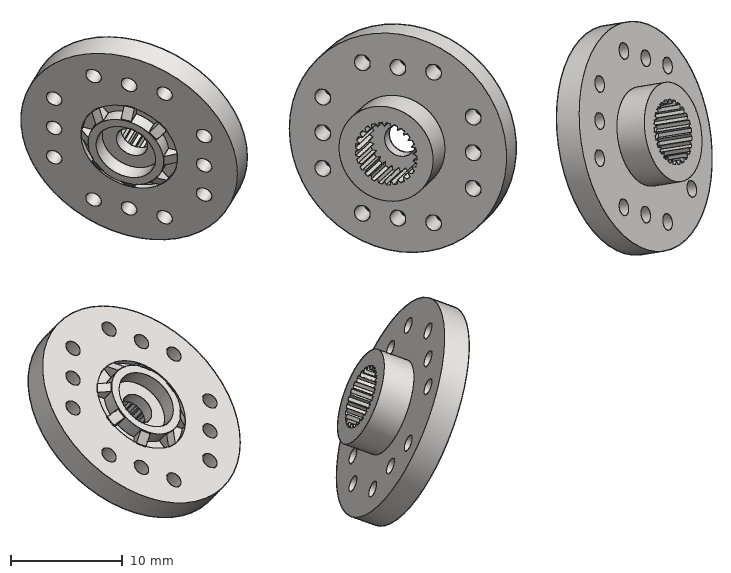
import cadquery as cq
import math

TOTAL_LENGTH = 6.3
BOSS_LENGTH = 3.0
HUB_HEIGHT = 0.81
PLATE_THICKNESS = TOTAL_LENGTH - BOSS_LENGTH - HUB_HEIGHT

PLATE_DIAMETER = 20.8
BOSS_DIAMETER = 9.0
HUB_DIAMETER = 7.25
GROOVE_DIAMETER = 9.25
GROOVE_DEPTH = 0.5
SCREW_HEAD_DIAMETER = 5.7
SCREW_HEAD_DEPTH = 1.5
SCREW_HOLE_DIAMETER = 3.0
SCREW_HOLE_LENGTH = 1.2

TOOTH_COUNT = 25
SOCKET_ROOT_DIAMETER = 5.9
SOCKET_TIP_DIAMETER = 5.2
TOOTH_BASE_FRACTION = 0.52

RIB_COUNT = 8
RIB_WIDTH = 1.0
RIB_RISE = 0.7
RIB_DROP = 0.1

MOUNT_HOLE_DIAMETER = 1.5
MOUNT_ROW_OFFSET = 7.2
MOUNT_HOLE_SPACING = 3.41

FRONT_Y = -TOTAL_LENGTH / 2
PLATE_FRONT_Y = FRONT_Y + HUB_HEIGHT
PLATE_BACK_Y = PLATE_FRONT_Y + PLATE_THICKNESS
BACK_Y = TOTAL_LENGTH / 2
GROOVE_FLOOR_Y = PLATE_FRONT_Y + GROOVE_DEPTH
SOCKET_FLOOR_Y = FRONT_Y + SCREW_HEAD_DEPTH + SCREW_HOLE_LENGTH


def plane_at(y):
    """Sketch plane at height y, drawn along +X and +Z; its normal is -Y."""
    return cq.Workplane(cq.Plane(origin=(0, y, 0), xDir=(1, 0, 0), normal=(0, -1, 0)))


def cylinder(diameter, y_start, y_end):
    """Solid cylinder about the Y axis."""
    return plane_at(y_start).circle(diameter / 2).extrude(y_start - y_end)


def polar(radius, angle):
    """Point at the given radius and angle (radians) from +X."""
    return (radius * math.cos(angle), radius * math.sin(angle))


def make_ribs():
    """Wedge ribs from the groove floor, sloping from the hub down to the groove wall."""
    hub_radius = HUB_DIAMETER / 2
    groove_radius = GROOVE_DIAMETER / 2
    hub_wall = hub_radius - SCREW_HEAD_DIAMETER / 2
    buried_radius = hub_radius - hub_wall / 2
    top_y = PLATE_FRONT_Y - RIB_RISE
    profile = [
        (buried_radius, GROOVE_FLOOR_Y),
        (buried_radius, top_y),
        (hub_radius, top_y),
        (groove_radius, PLATE_FRONT_Y + RIB_DROP),
        (groove_radius, GROOVE_FLOOR_Y),
    ]
    rib = cq.Workplane("XY").polyline(profile).close().extrude(RIB_WIDTH / 2, both=True)
    ribs = cq.Workplane("XY")
    for index in range(RIB_COUNT):
        ribs = ribs.add(rib.rotate((0, 0, 0), (0, 1, 0), index * 360 / RIB_COUNT))
    return ribs.combine()


def make_socket():
    """Socket void: a round bore with V-shaped teeth pointing inward from its wall."""
    root_radius = SOCKET_ROOT_DIAMETER / 2
    tip_radius = SOCKET_TIP_DIAMETER / 2
    pitch = 2 * math.pi / TOOTH_COUNT
    half_base = pitch * TOOTH_BASE_FRACTION / 2
    outline = plane_at(SOCKET_FLOOR_Y).moveTo(*polar(root_radius, -half_base))
    for index in range(TOOTH_COUNT):
        center = index * pitch
        outline = outline.lineTo(*polar(tip_radius, center))
        outline = outline.lineTo(*polar(root_radius, center + half_base))
        outline = outline.threePointArc(
            polar(root_radius, center + pitch / 2),
            polar(root_radius, center + pitch - half_base),
        )
    return outline.close().extrude(SOCKET_FLOOR_Y - BACK_Y)


def make_mount_holes():
    """Through holes in rows parallel to X and rows parallel to Z."""
    row = (-MOUNT_HOLE_SPACING, 0, MOUNT_HOLE_SPACING)
    centers = []
    for side in (-MOUNT_ROW_OFFSET, MOUNT_ROW_OFFSET):
        for along in row:
            centers.append((along, side))
            centers.append((side, along))
    holes = plane_at(PLATE_FRONT_Y).pushPoints(centers)
    return holes.circle(MOUNT_HOLE_DIAMETER / 2).extrude(-PLATE_THICKNESS)


body = cylinder(PLATE_DIAMETER, PLATE_FRONT_Y, PLATE_BACK_Y)
body = body.cut(cylinder(GROOVE_DIAMETER, PLATE_FRONT_Y, GROOVE_FLOOR_Y))
body = body.union(cylinder(HUB_DIAMETER, FRONT_Y, GROOVE_FLOOR_Y))
body = body.union(make_ribs())
body = body.union(cylinder(BOSS_DIAMETER, PLATE_BACK_Y, BACK_Y))

body = body.cut(cylinder(SCREW_HEAD_DIAMETER, FRONT_Y, FRONT_Y + SCREW_HEAD_DEPTH))
body = body.cut(cylinder(SCREW_HOLE_DIAMETER, FRONT_Y, BACK_Y))
body = body.cut(make_socket())
result = body.cut(make_mount_holes())